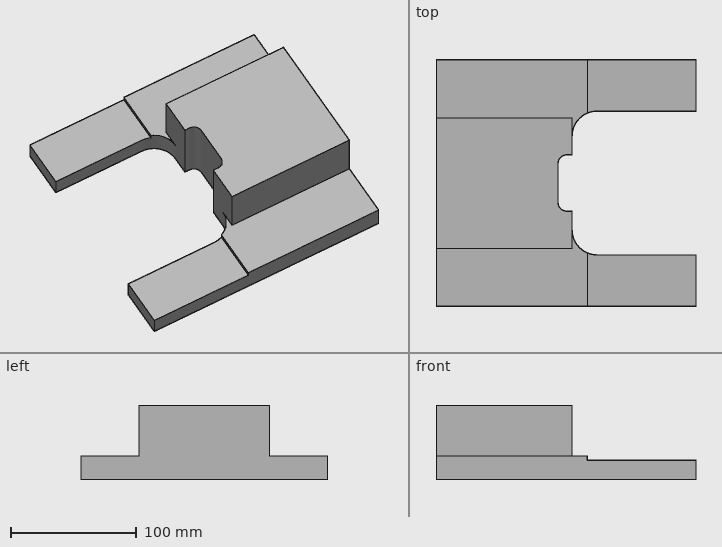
import cadquery as cq

length = 207.0
width = 196.5
total_height = 59.0
plate_height = 18.8
arm_height = 15.5
arm_step_x = 120.3

block_length = 108.3
block_width = 104.0

opening_width = 114.3
opening_radius = 19.7

notch_depth = 11.2
notch_width = 44.7
notch_radius = 6.8


def box(x_start, x_end, y_width, z_start, z_end):
    """Box centred on Y = 0 between the given X and Z limits."""
    return (
        cq.Workplane("XY", origin=(0, 0, z_start))
        .moveTo((x_start + x_end) / 2, 0)
        .rect(x_end - x_start, y_width)
        .extrude(z_end - z_start)
    )


def rounded_cut(x_start, x_end, y_width, radius):
    """Full-height cutter with its two inner (-X) corners rounded."""
    return box(x_start, x_end, y_width, 0, total_height).edges("|Z and <X").fillet(radius)


plate = box(0, length, width, 0, plate_height)
arm_step = box(arm_step_x, length, width, arm_height, plate_height)
block = box(0, block_length, block_width, 0, total_height)

opening = rounded_cut(block_length, length, opening_width, opening_radius)
notch = rounded_cut(block_length - notch_depth, length, notch_width, notch_radius)

result = plate.cut(arm_step).union(block).cut(opening).cut(notch)